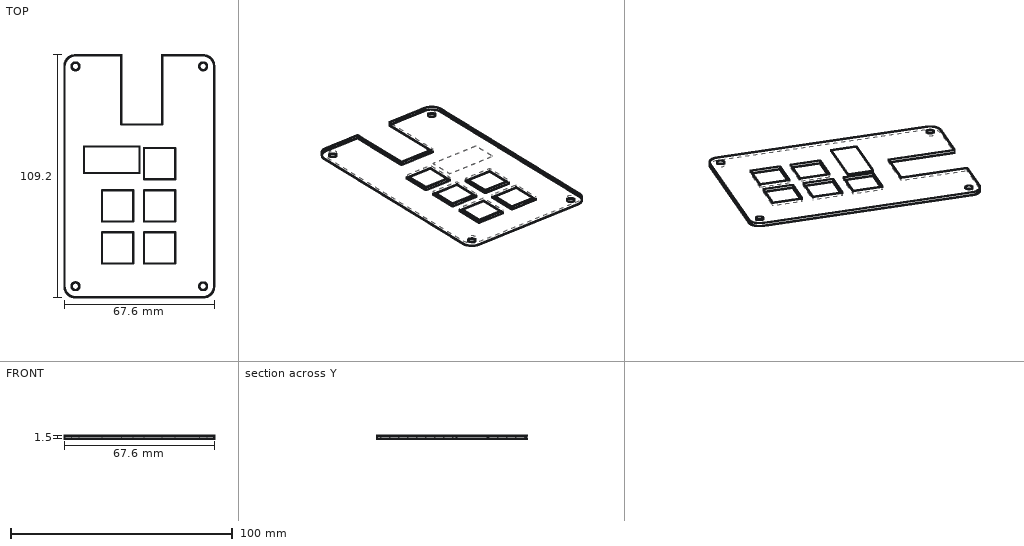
import cadquery as cq

width = 67.6
length = 109.2
thickness = 1.5
corner_radius = 5.0
screw_hole_diameter = 3.4

notch_width = 18.5
notch_depth = 31.2
notch_center_x = 1.1

window_size = 14.0
window_pitch = 19.0
first_window_x = -9.8
first_window_y = -32.3
window_cells = [(0, 0), (1, 0), (0, 1), (1, 1), (1, 2)]

recess_width = 25.0
recess_length = 12.0
recess_depth = 0.1
recess_center = (-12.5, 7.4)


def make_plate():
    """Rounded plate with a screw hole concentric with each corner."""
    plate = cq.Workplane("XY").rect(width, length).extrude(thickness)
    plate = plate.edges("|Z").fillet(corner_radius)
    hole_span_x = width - 2 * corner_radius
    hole_span_y = length - 2 * corner_radius
    return (
        plate.faces(">Z").workplane()
        .rect(hole_span_x, hole_span_y, forConstruction=True)
        .vertices().hole(screw_hole_diameter)
    )


def make_notch():
    notch_center_y = (length - notch_depth) / 2
    return (
        cq.Workplane("XY").center(notch_center_x, notch_center_y)
        .rect(notch_width, notch_depth).extrude(thickness)
    )


def make_windows():
    centers = [
        (first_window_x + column * window_pitch, first_window_y + row * window_pitch)
        for column, row in window_cells
    ]
    return (
        cq.Workplane("XY").pushPoints(centers)
        .rect(window_size, window_size).extrude(thickness)
    )


def make_recess():
    return (
        cq.Workplane("XY").workplane(offset=thickness - recess_depth)
        .center(*recess_center)
        .rect(recess_width, recess_length).extrude(recess_depth)
    )


result = make_plate().cut(make_notch()).cut(make_windows()).cut(make_recess())